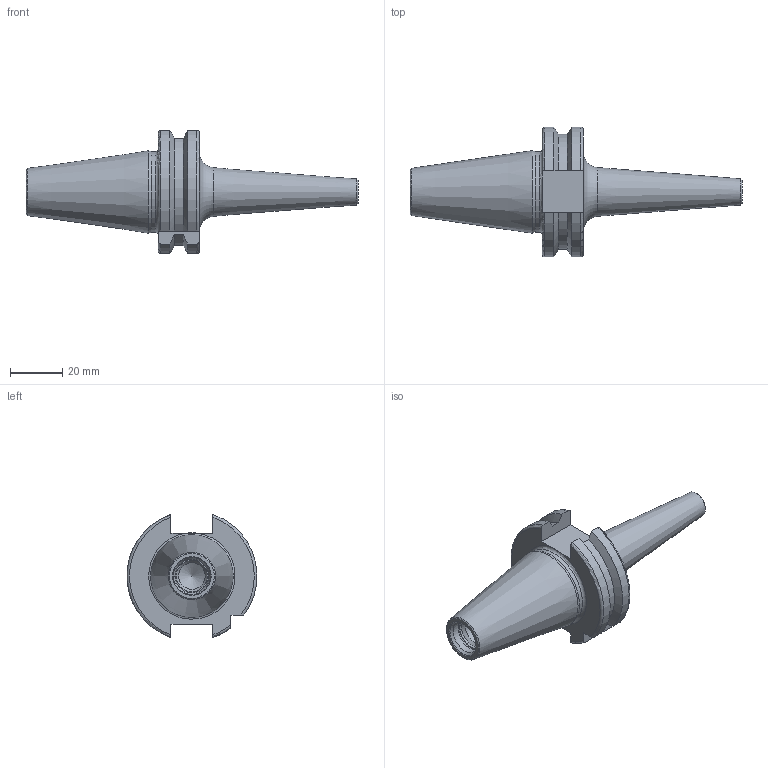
import cadquery as cq
import math


TAPER_RATIO = 7 / 48
TAPER_LENGTH = 47.0
GAUGE_RADIUS = 31.75 / 2
TAPER_END_RADIUS = GAUGE_RADIUS - TAPER_RATIO * TAPER_LENGTH
TAPER_END_CHAMFER = 0.4

NECK_RADIUS = 15.5
NECK_START = 48.1
NECK_FILLET = 1.1

FLANGE_START = 50.85
FLANGE_WIDTH = 15.8
FLANGE_END = FLANGE_START + FLANGE_WIDTH
FLANGE_RADIUS = 25.0
FLANGE_ROUND = 1.0

GROOVE_CENTER = 58.75
GROOVE_MOUTH_WIDTH = 6.8
GROOVE_BOTTOM_RADIUS = 22.15
GROOVE_HALF_ANGLE = 30.0

SLOT_WIDTH = 16.1
UPPER_SLOT_FLOOR = 16.4
LOWER_SLOT_FLOOR = 18.5
NOTCH_OFFSET = 15.0

NOSE_END = 127.65
NOSE_END_RADIUS = 5.0
NOSE_ANGLE = 4.5
NOSE_END_CHAMFER = 0.5
NOSE_FILLET = 6.0

MOUTH_RADIUS = 7.4
COUNTERSINK_RADIUS = 7.1
COUNTERSINK_START = 0.3
COUNTERSINK_END = 1.4
PILOT_RADIUS = 6.5
PILOT_DEPTH = 4.1
PILOT_FLOOR_RADIUS = 6.3
PILOT_FLOOR_DEPTH = 4.6
THREAD_RADIUS = 6.0
THREAD_CONE_START = 5.5
THREAD_CONE_END = 6.7
CORE_RADIUS = 5.1
CORE_DEPTH = 24.0
DRILL_POINT_ANGLE = 118.0


def revolve_about_x(profile):
    """Spin a closed profile drawn as (X, radius) about the X axis."""
    return profile.close().revolve(360, (0, 0, 0), (1, 0, 0))


def make_body():
    """Taper, neck, flange and nose as one turned solid."""
    groove_depth = FLANGE_RADIUS - GROOVE_BOTTOM_RADIUS
    mouth_half = GROOVE_MOUTH_WIDTH / 2
    bottom_half = mouth_half - groove_depth * math.tan(math.radians(GROOVE_HALF_ANGLE))
    round_offset = FLANGE_ROUND * math.sqrt(0.5)
    neck_fillet_offset = NECK_FILLET * math.sqrt(0.5)
    neck_fillet_start = FLANGE_START - NECK_FILLET
    neck_fillet_radius = NECK_RADIUS + NECK_FILLET
    front_round_x = FLANGE_START + FLANGE_ROUND
    back_round_x = FLANGE_END - FLANGE_ROUND
    round_radius = FLANGE_RADIUS - FLANGE_ROUND

    angle = math.radians(NOSE_ANGLE)
    fillet_x = FLANGE_END + NOSE_FILLET
    tangent_x = fillet_x - NOSE_FILLET * math.sin(angle)
    tangent_radius = NOSE_END_RADIUS + (NOSE_END - tangent_x) * math.tan(angle)
    fillet_radius = tangent_radius + NOSE_FILLET * math.cos(angle)
    half_sweep = (math.pi / 2 - angle) / 2
    fillet_middle = (
        fillet_x - NOSE_FILLET * math.cos(half_sweep),
        fillet_radius - NOSE_FILLET * math.sin(half_sweep),
    )
    chamfer_x = NOSE_END - NOSE_END_CHAMFER
    chamfer_radius = NOSE_END_RADIUS + NOSE_END_CHAMFER * math.tan(angle)

    profile = (
        cq.Workplane("XY")
        .moveTo(0, 0)
        .lineTo(0, TAPER_END_RADIUS - TAPER_END_CHAMFER)
        .lineTo(TAPER_END_CHAMFER, TAPER_END_RADIUS + TAPER_RATIO * TAPER_END_CHAMFER)
        .lineTo(TAPER_LENGTH, GAUGE_RADIUS)
        .lineTo(NECK_START, NECK_RADIUS)
        .lineTo(neck_fillet_start, NECK_RADIUS)
        .threePointArc(
            (neck_fillet_start + neck_fillet_offset, neck_fillet_radius - neck_fillet_offset),
            (FLANGE_START, neck_fillet_radius),
        )
        .lineTo(FLANGE_START, round_radius)
        .threePointArc(
            (front_round_x - round_offset, round_radius + round_offset),
            (front_round_x, FLANGE_RADIUS),
        )
        .lineTo(GROOVE_CENTER - mouth_half, FLANGE_RADIUS)
        .lineTo(GROOVE_CENTER - bottom_half, GROOVE_BOTTOM_RADIUS)
        .lineTo(GROOVE_CENTER + bottom_half, GROOVE_BOTTOM_RADIUS)
        .lineTo(GROOVE_CENTER + mouth_half, FLANGE_RADIUS)
        .lineTo(back_round_x, FLANGE_RADIUS)
        .threePointArc(
            (back_round_x + round_offset, round_radius + round_offset),
            (FLANGE_END, round_radius),
        )
        .lineTo(FLANGE_END, fillet_radius)
        .threePointArc(fillet_middle, (tangent_x, tangent_radius))
        .lineTo(chamfer_x, chamfer_radius)
        .lineTo(NOSE_END, NOSE_END_RADIUS - NOSE_END_CHAMFER)
        .lineTo(NOSE_END, 0)
    )
    return revolve_about_x(profile)


def make_bore():
    """Countersunk, stepped bore ending in a drill point."""
    point_length = CORE_RADIUS / math.tan(math.radians(DRILL_POINT_ANGLE / 2))
    profile = (
        cq.Workplane("XY")
        .moveTo(0, 0)
        .lineTo(0, MOUTH_RADIUS)
        .lineTo(COUNTERSINK_START, COUNTERSINK_RADIUS)
        .lineTo(COUNTERSINK_END, PILOT_RADIUS)
        .lineTo(PILOT_DEPTH, PILOT_RADIUS)
        .lineTo(PILOT_FLOOR_DEPTH, PILOT_FLOOR_RADIUS)
        .lineTo(PILOT_FLOOR_DEPTH, THREAD_RADIUS)
        .lineTo(THREAD_CONE_START, THREAD_RADIUS)
        .lineTo(THREAD_CONE_END, CORE_RADIUS)
        .lineTo(CORE_DEPTH, CORE_RADIUS)
        .lineTo(CORE_DEPTH + point_length, 0)
    )
    return revolve_about_x(profile)


def flange_cutter(y_min, y_max, z_min, z_max):
    """Block across the full flange width."""
    return (
        cq.Workplane("XY")
        .box(FLANGE_WIDTH, y_max - y_min, z_max - z_min, centered=False)
        .translate((FLANGE_START, y_min, z_min))
    )


def make_flange_cuts():
    """Two drive slots and the corner orientation notch."""
    half_slot = SLOT_WIDTH / 2
    upper_slot = flange_cutter(-half_slot, half_slot, UPPER_SLOT_FLOOR, FLANGE_RADIUS)
    lower_slot = flange_cutter(-half_slot, half_slot, -FLANGE_RADIUS, -LOWER_SLOT_FLOOR)
    notch = flange_cutter(-FLANGE_RADIUS, -NOTCH_OFFSET, -FLANGE_RADIUS, -NOTCH_OFFSET)
    return [upper_slot, lower_slot, notch]


result = make_body().cut(make_bore())
for cutter in make_flange_cuts():
    result = result.cut(cutter)